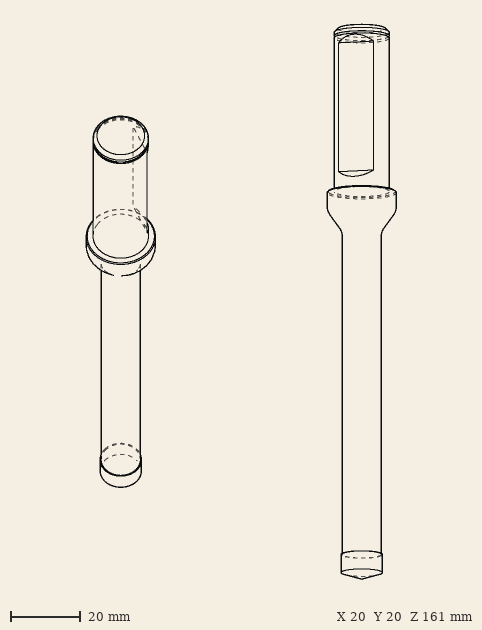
import cadquery as cq
import math

total_length = 161.0
cone_height = 2.0
head_top_z = 7.2
collar_top_z = 113.3

head_radius = 11.9 / 2

neck_radius = 11.3 / 2
collar_radius = 20.0 / 2
collar_band_height = 4.3
collar_chamfer = 0.3
collar_cone_angle = math.radians(36)
collar_round_radius = 4.2
neck_fillet_radius = 4.2

shank_radius = 16.0 / 2
shank_chamfer = 1.1
groove_depth = 0.08
groove_width = 0.6
groove_top_z = total_length - 2.1

flat_depth = 2.0
flat_end_gap = 3.0
flat_clearance = 1.6


def arc_point(center, radius, angle):
    """Point on an arc in the (radius, Z) plane, angle in radians from the radial direction."""
    return (center[0] + radius * math.cos(angle), center[1] + radius * math.sin(angle))


def make_cutting_head():
    """Short cylinder with a shallow conical point."""
    return (
        cq.Workplane("XZ")
        .moveTo(0, 0)
        .lineTo(head_radius, cone_height)
        .lineTo(head_radius, head_top_z)
        .lineTo(0, head_top_z)
        .close()
        .revolve(360, (0, 0), (0, 1))
    )


def make_holder_blank():
    """Turned neck, collar and shank; one smooth curve and a fillet join the collar to the neck."""
    band_bottom_z = collar_top_z - collar_band_height
    radii_sum = collar_round_radius + neck_fillet_radius
    sweep = collar_cone_angle
    cone_radial_run = collar_radius - neck_radius - radii_sum * (1 - math.cos(sweep))
    cone_drop = cone_radial_run / math.tan(sweep)
    neck_top_z = band_bottom_z - radii_sum * math.sin(sweep) - cone_drop

    round_center = (collar_radius - collar_round_radius, band_bottom_z)
    fillet_center = (neck_radius + neck_fillet_radius, neck_top_z)
    fillet_middle = arc_point(fillet_center, neck_fillet_radius, math.pi - sweep / 2)
    cone_bottom = arc_point(fillet_center, neck_fillet_radius, math.pi - sweep)
    cone_top = arc_point(round_center, collar_round_radius, -sweep)

    return (
        cq.Workplane("XZ")
        .moveTo(0, head_top_z)
        .lineTo(neck_radius, head_top_z)
        .lineTo(neck_radius, neck_top_z)
        .threePointArc(fillet_middle, cone_bottom)
        .spline(
            [cone_top, (collar_radius, band_bottom_z)],
            tangents=[(math.sin(sweep), math.cos(sweep)), (0, 1)],
            includeCurrent=True,
        )
        .lineTo(collar_radius, collar_top_z - collar_chamfer)
        .lineTo(collar_radius - collar_chamfer, collar_top_z)
        .lineTo(shank_radius, collar_top_z)
        .lineTo(shank_radius, total_length - shank_chamfer)
        .lineTo(shank_radius - shank_chamfer, total_length)
        .lineTo(0, total_length)
        .close()
        .revolve(360, (0, 0), (0, 1))
    )


def make_groove_ring():
    """Ring that cuts the shallow groove near the top of the shank."""
    return (
        cq.Workplane("XY", origin=(0, 0, groove_top_z - groove_width))
        .circle(shank_radius + groove_depth)
        .circle(shank_radius - groove_depth)
        .extrude(groove_width)
    )


def make_flat_cutter():
    """Prism along X that cuts the clamping flat; its ends flare outward at 45 degrees."""
    outer_y = shank_radius + flat_clearance
    floor_y = shank_radius - flat_depth
    bottom_z = collar_top_z + flat_end_gap
    top_z = total_length - flat_end_gap
    return (
        cq.Workplane("YZ")
        .polyline([
            (floor_y, bottom_z + flat_depth),
            (outer_y, bottom_z - flat_clearance),
            (outer_y, top_z + flat_clearance),
            (floor_y, top_z - flat_depth),
        ])
        .close()
        .extrude(shank_radius, both=True)
    )


cutting_head = make_cutting_head()
holder = make_holder_blank().cut(make_groove_ring()).cut(make_flat_cutter())

result = cq.Compound.makeCompound([holder.val(), cutting_head.val()])